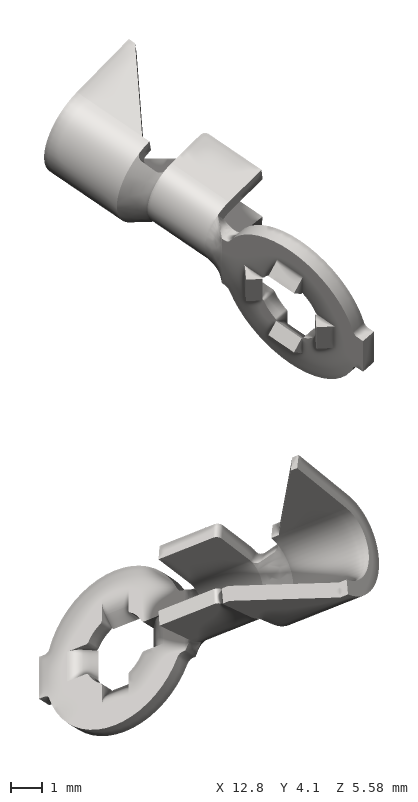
import cadquery as cq
import math

sheet = 0.51

insulation_end = 3.03
insulation_radius = 1.81
insulation_center_y = insulation_radius - sheet
insulation_flare = 8.0
insulation_leg = 2.5
insulation_tip = 0.26
insulation_root = 2.72

conductor_start = 3.85
conductor_end = 6.24
conductor_radius = 1.28
conductor_center_y = conductor_radius
conductor_flare = 6.0
conductor_leg = 1.57
conductor_corner = 0.19

front_neck_angle = 61.0
front_neck_fillet = 0.19
neck_half_width = 1.1
rear_neck_angle = math.degrees(math.asin(neck_half_width / conductor_radius))
flat_start = 6.95

ring_x = 9.78
ring_diameter = 5.58
total_length = 12.83
tab_half_width = 0.76
neck_fillet = 0.26
tab_fillet = 0.19

hole_radius = 1.22
prong_width = 1.06
prong_root = 1.92
prong_angle = 45.0
prong_bend = 0.14
prong_length = 0.51
slot_corner = 0.13


def arc_sector(x, center_y, radius, half_angle):
    """Sheet-thick arc across X, spread half_angle to each side of the -Y direction."""
    def at(r, degrees):
        angle = math.radians(degrees)
        return (center_y - r * math.cos(angle), r * math.sin(angle))

    inner = radius - sheet
    return (
        cq.Workplane("YZ", origin=(x, 0, 0))
        .moveTo(*at(radius, -half_angle))
        .threePointArc(at(radius, 0), at(radius, half_angle))
        .lineTo(*at(inner, half_angle))
        .threePointArc(at(inner, 0), at(inner, -half_angle))
        .close()
    )


def loft_between(start, end):
    """Straight-sided loft between two sketched sections."""
    wires = [start.wires().val(), end.wires().val()]
    return cq.Workplane(cq.Solid.makeLoft(wires, True))


def leg_sketch(center_y, radius, flare):
    """Workplane on the inner face of the upper leg: local x is X, local y runs up the leg."""
    angle = math.radians(flare)
    plane = cq.Plane(
        origin=(0, center_y, 0),
        xDir=(1, 0, 0),
        normal=(0, -math.sin(angle), math.cos(angle)),
    )
    return cq.Workplane(plane).workplane(offset=radius - sheet)


def insulation_crimp():
    belly = arc_sector(0, insulation_center_y, insulation_radius, 90 - insulation_flare)
    belly = belly.extrude(insulation_end)
    upper_leg = (
        leg_sketch(insulation_center_y, insulation_radius, insulation_flare)
        .polyline([(0, 0), (insulation_root, 0), (insulation_tip, insulation_leg), (0, insulation_leg)])
        .close()
        .extrude(sheet)
    )
    middle = (insulation_end / 2, 0, 0)
    lower_leg = upper_leg.rotate(middle, (middle[0], 1, 0), 180)
    return belly.union(upper_leg).union(lower_leg)


def conductor_crimp():
    belly = arc_sector(conductor_start, conductor_center_y, conductor_radius, 90 - conductor_flare)
    belly = belly.extrude(conductor_end - conductor_start)
    corner_end = conductor_start + conductor_corner
    corner_base = conductor_leg - conductor_corner
    corner_mid = conductor_corner * (1 - math.sqrt(0.5))
    upper_leg = (
        leg_sketch(conductor_center_y, conductor_radius, conductor_flare)
        .moveTo(conductor_start, 0)
        .lineTo(conductor_end, 0)
        .lineTo(conductor_end, conductor_leg)
        .lineTo(corner_end, conductor_leg)
        .threePointArc(
            (conductor_start + corner_mid, conductor_leg - corner_mid),
            (conductor_start, corner_base),
        )
        .close()
        .extrude(sheet)
    )
    return belly.union(upper_leg).union(upper_leg.mirror("XY"))


def neck_side_cutter():
    """Block that trims the upper side of the front neck, with rounded corners at both crimps."""
    angle = math.radians(front_neck_angle)
    plane = cq.Plane(
        origin=(0, conductor_center_y, 0),
        xDir=(1, 0, 0),
        normal=(0, -math.cos(angle), math.sin(angle)),
    )
    depth = insulation_radius
    length = conductor_start - insulation_end
    return (
        cq.Workplane(plane)
        .center(insulation_end + length / 2, depth / 2)
        .rect(length, depth)
        .extrude(2 * depth)
        .edges(cq.selectors.ParallelDirSelector(plane.zDir))
        .edges(cq.selectors.DirectionMinMaxSelector(plane.yDir, directionMax=False))
        .fillet(front_neck_fillet)
    )


def front_neck():
    """Conical arc between the two crimps, trimmed along both sides."""
    blank_angle = 90 - insulation_flare
    neck = loft_between(
        arc_sector(insulation_end, insulation_center_y, insulation_radius, blank_angle),
        arc_sector(conductor_start, conductor_center_y, conductor_radius, blank_angle),
    )
    cutter = neck_side_cutter()
    return neck.cut(cutter).cut(cutter.mirror("XY"))


def rear_neck():
    """Flattens the arc of the conductor crimp into the strip that carries the ring."""
    flat_section = (
        cq.Workplane("YZ", origin=(flat_start, 0, 0))
        .moveTo(0, -neck_half_width)
        .lineTo(0, neck_half_width)
        .lineTo(sheet, neck_half_width)
        .lineTo(sheet, -neck_half_width)
        .close()
    )
    return loft_between(
        arc_sector(conductor_end, conductor_center_y, conductor_radius, rear_neck_angle),
        flat_section,
    )


def plate(x_start, x_end, half_width):
    """Flat strip of sheet along X behind the plane Y = 0."""
    return cq.Workplane("XY").box(
        x_end - x_start, sheet, 2 * half_width, centered=(False, False, True)
    ).translate((x_start, 0, 0))


def ring_disc(radius):
    """Disc of sheet centred on the ring."""
    return cq.Workplane("XZ", origin=(ring_x, 0, 0)).circle(radius).extrude(-sheet)


def edges_across_sheet(x_start, x_end, half_width):
    """Selector for edges centred in a box across the sheet, half_width to each side of Z = 0."""
    low = (x_start, -sheet, -half_width)
    high = (x_end, 2 * sheet, half_width)
    return cq.selectors.BoxSelector(low, high)


def ring_blank():
    """Ring with its strip, tab, hole and the slots left by the prongs."""
    blank = ring_disc(ring_diameter / 2)
    blank = blank.union(plate(flat_start, ring_x, neck_half_width))
    blank = blank.union(plate(ring_x, total_length, tab_half_width))
    margin = 0.06
    neck_corners = edges_across_sheet(flat_start + margin, ring_x - hole_radius, neck_half_width + margin)
    blank = blank.edges("|Y").edges(neck_corners).fillet(neck_fillet)
    tab_corners = edges_across_sheet(ring_x + hole_radius, total_length - margin, tab_half_width + margin)
    blank = blank.edges("|Y").edges(tab_corners).fillet(tab_fillet)

    opening = ring_disc(hole_radius)
    slot = plate(ring_x - prong_root, ring_x + prong_root, prong_width / 2)
    opening = opening.union(slot)
    opening = opening.union(slot.rotate((ring_x, 0, 0), (ring_x, 1, 0), 90))
    inner_corners = edges_across_sheet(ring_x - hole_radius, ring_x + hole_radius, hole_radius)
    opening = opening.edges("|Y").edges(inner_corners).fillet(slot_corner)
    return blank.cut(opening)


def prong():
    """Tongue on the +X side of the hole, bent forward about a line in front of the sheet."""
    def on_bend(radius, degrees):
        angle = math.radians(degrees)
        return (prong_root - radius * math.sin(angle), -prong_bend + radius * math.cos(angle))

    def along_tongue(point):
        angle = math.radians(prong_angle)
        x, y = point
        return (x - prong_length * math.cos(angle), y - prong_length * math.sin(angle))

    outer_bend = prong_bend + sheet
    front_tangent = on_bend(prong_bend, prong_angle)
    back_tangent = on_bend(outer_bend, prong_angle)
    return (
        cq.Workplane("XY", origin=(ring_x, 0, -prong_width / 2))
        .moveTo(prong_root, 0)
        .threePointArc(on_bend(prong_bend, prong_angle / 2), front_tangent)
        .lineTo(*along_tongue(front_tangent))
        .lineTo(*along_tongue(back_tangent))
        .lineTo(*back_tangent)
        .threePointArc(on_bend(outer_bend, prong_angle / 2), (prong_root, sheet))
        .close()
        .extrude(prong_width)
    )


result = insulation_crimp().union(front_neck()).union(conductor_crimp()).union(rear_neck())
result = result.union(ring_blank())
for quarter in range(4):
    result = result.union(prong().rotate((ring_x, 0, 0), (ring_x, 1, 0), 90 * quarter))